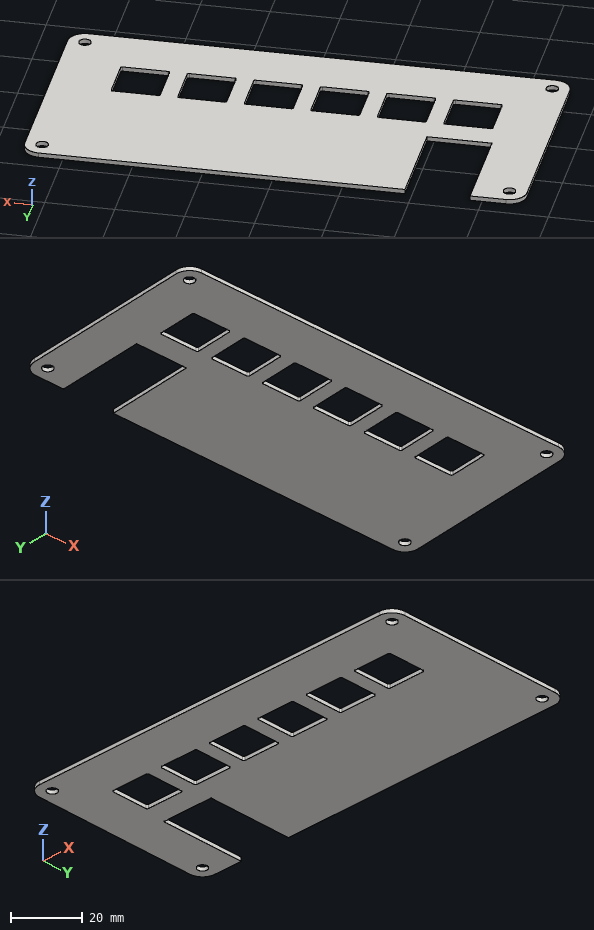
import cadquery as cq

length = 143.8
width = 70.0
thickness = 1.5
corner_radius = 5.0

hole_diameter = 3.5
hole_inset = corner_radius

notch_left = 15.4
notch_width = 18.5
notch_depth = 30.9

window_count = 6
window_size = 14.0
window_row_span = 95.2
window_pitch = window_row_span / (window_count - 1)
window_corner_radius = 0.5
first_window_x = 23.9
window_row_y = 23.9


def make_plate():
    """Rounded plate with its front-left bottom corner at the origin."""
    plate = cq.Workplane("XY").box(length, width, thickness, centered=False)
    return plate.edges("|Z").fillet(corner_radius)


def make_holes():
    """One through-hole cutter near each corner."""
    xs = (hole_inset, length - hole_inset)
    ys = (hole_inset, width - hole_inset)
    centres = [(x, y) for x in xs for y in ys]
    return cq.Workplane("XY").pushPoints(centres).circle(hole_diameter / 2).extrude(thickness)


def make_notch():
    """Rectangular cutter reaching in from the back edge."""
    notch = cq.Workplane("XY").box(notch_width, notch_depth, thickness, centered=False)
    return notch.translate((notch_left, width - notch_depth, 0))


def make_windows():
    """Evenly spaced square cutters with slightly rounded corners."""
    centres = [(first_window_x + i * window_pitch, window_row_y) for i in range(window_count)]
    windows = cq.Workplane("XY").pushPoints(centres).rect(window_size, window_size).extrude(thickness)
    return windows.edges("|Z").fillet(window_corner_radius)


plate = make_plate().cut(make_holes()).cut(make_notch()).cut(make_windows())

result = plate.translate((-length / 2, -width / 2, -thickness / 2))